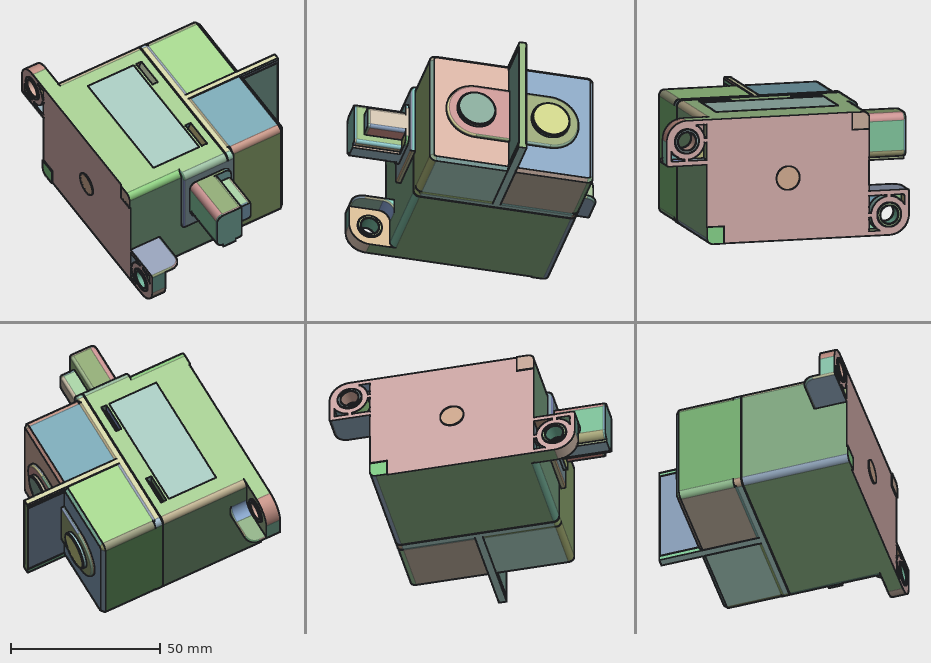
import cadquery as cq


WIDTH = 56.5
DEPTH = 42.5
HALF_WIDTH = WIDTH / 2
HALF_DEPTH = DEPTH / 2
BASE_Y = 0.4
BAND_TOP_Y = 40.3
BODY_TOP_Y = 60.5
BODY_INSET = 0.2
CORNER_RADIUS = 2.1
BODY_TOP_BEVEL = 1.2
BAND_BEVEL = 0.8
PARTING_Y = 37.4
PARTING_WIDTH = 0.3
PARTING_DEPTH = 0.1

FIN_THICKNESS = 2.7
FIN_TOP_Y = 74.5
FIN_EDGE_HEIGHT = 0.6
FIN_EDGE_BEVEL = 0.4
FIN_RIM = 2.1
FIN_END_RIM = 0.3
FIN_PANEL_DEPTH = 0.2

TERMINAL_X = 12.8
TERMINAL_RADIUS = 6.55
TERMINAL_RISE = 1.4
TERMINAL_BEVEL = 0.4
PLATE_RADIUS = 10.05
PLATE_RISE = 1.3
PLATE_ROUND = 0.6

EAR_END_X = 42.25
EAR_RADIUS = 7.0
EAR_HOLE_X = EAR_END_X - EAR_RADIUS
EAR_HOLE_Z = HALF_DEPTH - EAR_RADIUS
EAR_EDGE_Z = 5.9
EAR_TOP_Y = 5.65
EAR_EDGE_ROUND = 0.6
RIB_TOP_Y = 11.9
RIB_THICKNESS = 1.2
RIB_EDGE_ROUND = 0.45
RIB_CORNER_RADIUS = 3.8
RIB_ROOT_RADIUS = 3.95
BUSH_RADIUS = 4.2
BUSH_TOP_Y = 6.4
BUSH_BEVEL = 0.2
BOLT_RADIUS = 3.05
POCKET_WALL = 1.6
POCKET_WEB = 1.5
POCKET_BOSS_RADIUS = 6.3
POCKET_DEPTH = 4.0

PAD_SIDE = 5.9
PAD_RADIUS = 4.0

LABEL_WIDTH = 42.6
LABEL_Y = (13.5, 31.5)
LABEL_DEPTH = 0.1
VENT_LENGTH = 10.7
VENT_Y = (32.5, 34.5)
VENT_FLOOR = 0.5
VENT_DEPTH = 3.6

FLANGE_X = 30.0
FLANGE_Y = (20.2, 40.0)
FLANGE_BOTTOM_Z = -4.9
FLANGE_ROUND = 0.45
PLUG_END_X = 47.45
PLUG_Y = (22.6, 32.6)
PLUG_Z = (-0.2, 15.9)
PLUG_FRONT_RADIUS = 2.4
PLUG_REAR_RADIUS = 1.1
PLUG_END_BEVEL = 0.2
PLUG_END_LENGTH = 0.7
KEY_HEIGHT = 1.0
KEY_SETBACK = 2.5
LATCH_END_X = 44.1
LATCH_TOP_Y = 38.0
LATCH_Z = (3.95, 11.75)
COLLAR_X = 31.0


def block(x_range, y_range, z_range):
    """Box between the given limits on each axis."""
    limits = (x_range, y_range, z_range)
    sizes = [high - low for low, high in limits]
    corner = tuple(low for low, high in limits)
    return cq.Workplane("XY").box(*sizes, centered=False).translate(corner)


def cylinder_y(x, z, radius, y_low, y_high):
    """Round post along Y between two heights."""
    post = cq.Workplane("XZ").center(x, z).circle(radius)
    return post.extrude(y_low - y_high).translate((0, y_low, 0))


def opposite(shape):
    """Half-turn copy about the Y axis."""
    return shape.rotate((0, 0, 0), (0, 1, 0), 180)


def make_housing():
    x_range = (-HALF_WIDTH, HALF_WIDTH)
    lower = block(x_range, (BASE_Y, BAND_TOP_Y), (-HALF_DEPTH, HALF_DEPTH)).edges("|Y").fillet(CORNER_RADIUS)
    for side in (-1, 1):
        shoulder = (
            cq.Workplane("YZ")
            .polyline([
                (BAND_TOP_Y - BAND_BEVEL, side * HALF_DEPTH),
                (BAND_TOP_Y, side * HALF_DEPTH),
                (BAND_TOP_Y, side * (HALF_DEPTH - BODY_INSET)),
            ])
            .close()
            .extrude(HALF_WIDTH, both=True)
        )
        lower = lower.cut(shoulder)
    body_half_depth = HALF_DEPTH - BODY_INSET
    upper = block(x_range, (PARTING_Y, BODY_TOP_Y), (-body_half_depth, body_half_depth))
    upper = upper.edges("|Y").fillet(CORNER_RADIUS)
    upper = upper.faces(">Y").edges().chamfer(BODY_TOP_BEVEL)
    return lower.union(upper)


def make_parting_groove():
    y_range = (PARTING_Y - PARTING_WIDTH / 2, PARTING_Y + PARTING_WIDTH / 2)
    outer = block((-WIDTH, WIDTH), y_range, (-DEPTH, DEPTH))
    inner_x = HALF_WIDTH - PARTING_DEPTH
    inner_z = HALF_DEPTH - PARTING_DEPTH
    inner_radius = CORNER_RADIUS - PARTING_DEPTH
    inner = block((-inner_x, inner_x), y_range, (-inner_z, inner_z)).edges("|Y").fillet(inner_radius)
    flange_inner = block((0, FLANGE_X), y_range, (FLANGE_BOTTOM_Z, inner_z))
    flange_inner = flange_inner.edges("|Y and >X and >Z").fillet(inner_radius)
    return outer.cut(inner).cut(flange_inner)


def make_fin():
    half = FIN_THICKNESS / 2
    shoulder_z = HALF_DEPTH - FIN_EDGE_HEIGHT
    tip_x = half - FIN_EDGE_BEVEL
    fin = (
        cq.Workplane("XZ")
        .polyline([
            (half, -HALF_DEPTH),
            (half, shoulder_z),
            (tip_x, HALF_DEPTH),
            (-tip_x, HALF_DEPTH),
            (-half, shoulder_z),
            (-half, -HALF_DEPTH),
        ])
        .close()
        .extrude(PARTING_Y + PARTING_WIDTH - FIN_TOP_Y)
        .translate((0, PARTING_Y + PARTING_WIDTH, 0))
    )
    panel_z = HALF_DEPTH - FIN_RIM
    for x_range in ((half - FIN_PANEL_DEPTH, half), (-half, FIN_PANEL_DEPTH - half)):
        fin = fin.cut(block(x_range, (BODY_TOP_Y, FIN_TOP_Y - FIN_END_RIM), (-panel_z, panel_z)))
    return fin


def make_terminals():
    plate_top = BODY_TOP_Y + PLATE_RISE
    plate = (
        cq.Workplane("XZ")
        .slot2D(2 * (TERMINAL_X + PLATE_RADIUS), 2 * PLATE_RADIUS)
        .extrude(-PLATE_RISE)
        .translate((0, BODY_TOP_Y, 0))
        .faces(">Y")
        .edges()
        .fillet(PLATE_ROUND)
    )
    for x in (-TERMINAL_X, TERMINAL_X):
        post = cylinder_y(x, 0, TERMINAL_RADIUS, BODY_TOP_Y, plate_top + TERMINAL_RISE)
        plate = plate.union(post.faces(">Y").chamfer(TERMINAL_BEVEL))
    return plate


def make_ear_pockets():
    """Weight-saving pockets in the mounting face around the -X bolt bush."""
    y_range = (0, BASE_Y + POCKET_DEPTH)
    x_range = (POCKET_WALL - EAR_END_X, -HALF_WIDTH)
    z_range = (EAR_EDGE_Z + POCKET_WALL, HALF_DEPTH - POCKET_WALL)
    pockets = block(x_range, y_range, z_range)
    pockets = pockets.cut(cylinder_y(-EAR_HOLE_X, EAR_HOLE_Z, POCKET_BOSS_RADIUS, *y_range))
    half_web = POCKET_WEB / 2
    web_x = (-EAR_HOLE_X - half_web, -EAR_HOLE_X + half_web)
    web_z = (EAR_HOLE_Z - half_web, EAR_HOLE_Z + half_web)
    pockets = pockets.cut(block(web_x, y_range, z_range))
    pockets = pockets.cut(block(x_range, y_range, web_z))
    corner = block((-EAR_END_X, -EAR_HOLE_X), y_range, (EAR_HOLE_Z, HALF_DEPTH))
    return pockets.cut(corner).edges("|Y and <X and <Z").fillet(EAR_EDGE_ROUND)


def make_ear():
    """Mounting ear on the -X side at the +Z corner, without its bolt hole."""
    inner_x = CORNER_RADIUS - HALF_WIDTH
    ear = block((-EAR_END_X, inner_x), (BASE_Y, EAR_TOP_Y), (EAR_EDGE_Z, HALF_DEPTH))
    ear = ear.edges("|Y and <X and >Z").fillet(EAR_RADIUS)

    rib = block((-EAR_END_X, inner_x), (BASE_Y, RIB_TOP_Y), (EAR_EDGE_Z, EAR_EDGE_Z + RIB_THICKNESS))
    rib = rib.edges("|Z and <X and >Y").fillet(RIB_CORNER_RADIUS)
    rib_z = EAR_EDGE_Z + RIB_THICKNESS
    web_x = (-HALF_WIDTH - RIB_ROOT_RADIUS, inner_x)
    web = block(web_x, (BASE_Y, RIB_TOP_Y), (rib_z, rib_z + RIB_ROOT_RADIUS))
    web = web.cut(cylinder_y(web_x[0], rib_z + RIB_ROOT_RADIUS, RIB_ROOT_RADIUS, EAR_TOP_Y, RIB_TOP_Y))
    rib = rib.union(web)
    rib = rib.faces(">Y").edges("not(<X or >X or <Z or >Z)").fillet(RIB_EDGE_ROUND)

    ear = ear.union(rib)
    ear = ear.faces("<Z").edges("not(<Y or >X)").fillet(EAR_EDGE_ROUND)
    ear = ear.cut(make_ear_pockets())

    bush = cylinder_y(-EAR_HOLE_X, EAR_HOLE_Z, BUSH_RADIUS, 0, BUSH_TOP_Y)
    return ear.union(bush.faces("<Y or >Y").chamfer(BUSH_BEVEL))


def make_bolt_hole():
    hole = cylinder_y(-EAR_HOLE_X, EAR_HOLE_Z, BOLT_RADIUS, 0, BUSH_TOP_Y)
    mouth_radius = BOLT_RADIUS + BUSH_BEVEL
    for y_range in ((0, BUSH_BEVEL), (BUSH_TOP_Y - BUSH_BEVEL, BUSH_TOP_Y)):
        hole = hole.union(cylinder_y(-EAR_HOLE_X, EAR_HOLE_Z, mouth_radius, *y_range))
    return hole


def make_pads():
    corner_pad = block(
        (-HALF_WIDTH, PAD_SIDE - HALF_WIDTH), (0, BASE_Y), (-HALF_DEPTH, PAD_SIDE - HALF_DEPTH)
    )
    corner_pad = corner_pad.edges("|Y and <X and <Z").fillet(CORNER_RADIUS)
    centre_pad = cylinder_y(0, 0, PAD_RADIUS, 0, BASE_Y)
    return centre_pad.union(corner_pad).union(opposite(corner_pad))


def make_label_recess():
    return block(
        (-LABEL_WIDTH / 2, LABEL_WIDTH / 2), LABEL_Y, (HALF_DEPTH - LABEL_DEPTH, HALF_DEPTH)
    )


def make_vent(x_start):
    """Pocket with a short floor and a slope that rises towards +Y."""
    floor_z = HALF_DEPTH - VENT_DEPTH
    return (
        cq.Workplane("YZ")
        .polyline([
            (VENT_Y[0], HALF_DEPTH),
            (VENT_Y[0], floor_z),
            (VENT_Y[0] + VENT_FLOOR, floor_z),
            (VENT_Y[1], HALF_DEPTH),
        ])
        .close()
        .extrude(VENT_LENGTH)
        .translate((x_start, 0, 0))
    )


def make_flange():
    flange = block((HALF_WIDTH - CORNER_RADIUS, FLANGE_X), FLANGE_Y, (FLANGE_BOTTOM_Z, HALF_DEPTH))
    flange = flange.edges("|Y and >X and >Z").fillet(CORNER_RADIUS)
    return flange.faces(">X").edges("not >Z").fillet(FLANGE_ROUND)


def make_plug():
    key_top = PLUG_Z[0] + KEY_HEIGHT
    plug = block((HALF_WIDTH, PLUG_END_X), PLUG_Y, (key_top, PLUG_Z[1]))
    plug = plug.edges("|X and <Y").fillet(PLUG_FRONT_RADIUS)
    plug = plug.edges("|X and >Y").fillet(PLUG_REAR_RADIUS)
    plug = plug.faces(">X").chamfer(PLUG_END_LENGTH, PLUG_END_BEVEL)
    key_y = (PLUG_Y[0] + KEY_SETBACK, PLUG_Y[1] - KEY_SETBACK)
    key = block((HALF_WIDTH, PLUG_END_X), key_y, (PLUG_Z[0], key_top + KEY_HEIGHT))

    latch = block((HALF_WIDTH, LATCH_END_X), (PLUG_Y[0] + KEY_SETBACK, LATCH_TOP_Y), LATCH_Z)
    latch = latch.edges("|X and >Y").fillet(PLUG_REAR_RADIUS)
    latch = latch.faces(">X").chamfer(PLUG_END_LENGTH, PLUG_END_BEVEL)

    collar = block((HALF_WIDTH, COLLAR_X), (PLUG_Y[0], LATCH_TOP_Y), PLUG_Z)
    collar = collar.edges("|X").fillet(PLUG_FRONT_RADIUS)
    return plug.union(key).union(latch).union(collar)


housing = make_housing().union(make_flange()).cut(make_parting_groove())
housing = housing.union(make_fin()).union(make_terminals()).union(make_plug())

ear = make_ear()
bolt_hole = make_bolt_hole()
housing = housing.union(ear).union(opposite(ear)).union(make_pads())
housing = housing.cut(bolt_hole).cut(opposite(bolt_hole))

housing = housing.cut(make_label_recess())
for vent_start in (-LABEL_WIDTH / 2, LABEL_WIDTH / 2 - VENT_LENGTH):
    housing = housing.cut(make_vent(vent_start))

result = housing